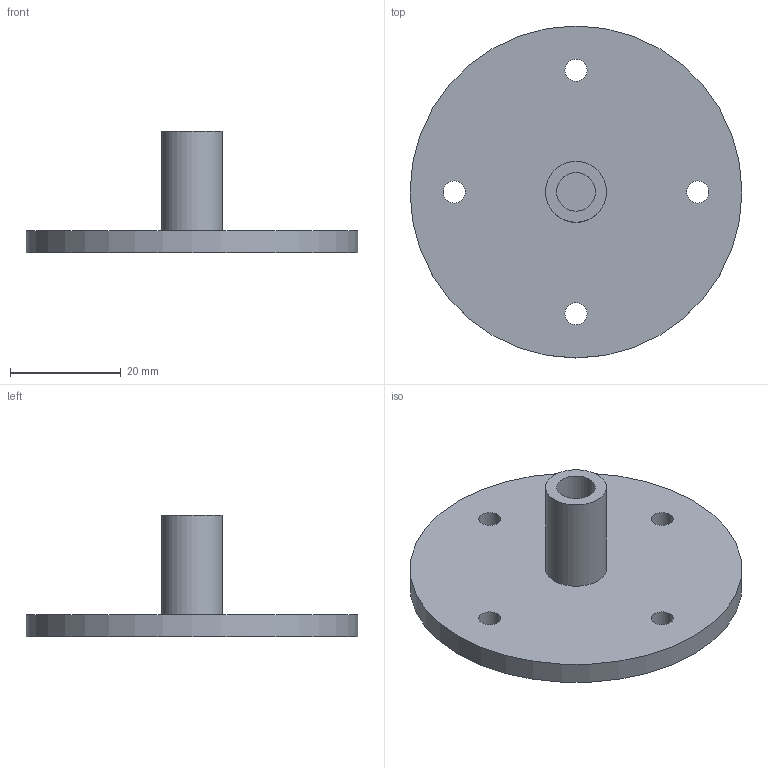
import cadquery as cq

flange_diameter = 60.0
flange_thickness = 4.0

tube_diameter = 11.0
overall_height = 22.0
tube_height = overall_height - flange_thickness
bore_diameter = 7.0
bore_depth = tube_height

mounting_hole_count = 4
mounting_hole_diameter = 4.0
mounting_circle_radius = 22.0


def make_flange():
    """Flat disc with a ring of through holes."""
    disc = cq.Workplane("XY").circle(flange_diameter / 2).extrude(flange_thickness)
    return (
        disc.faces(">Z")
        .workplane()
        .polarArray(mounting_circle_radius, 0, 360, mounting_hole_count)
        .hole(mounting_hole_diameter)
    )


def add_tube(body):
    """Solid cylinder joined to the centre of the flange's top face."""
    tube = (
        cq.Workplane("XY")
        .workplane(offset=flange_thickness)
        .circle(tube_diameter / 2)
        .extrude(tube_height)
    )
    return body.union(tube)


def cut_bore(body):
    """Flat-bottomed bore sunk from the top of the tube."""
    return body.faces(">Z").workplane(origin=(0, 0, 0)).hole(bore_diameter, bore_depth)


result = cut_bore(add_tube(make_flange()))